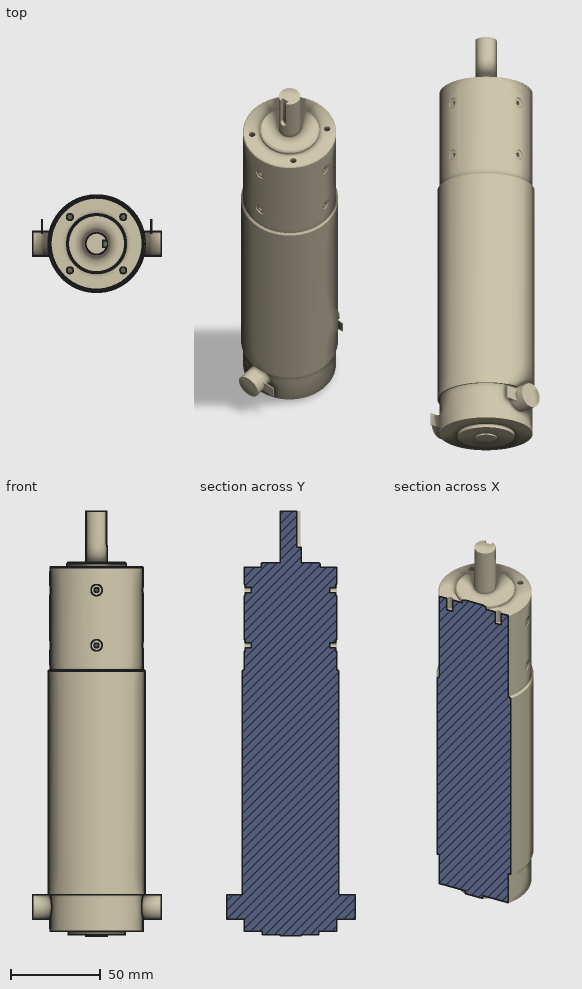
import cadquery as cq

shaft_length = 31.0
pilot_height = 2.4
gearbox_length = 57.4
motor_length = 125.3
end_cap_length = 20.5
bearing_boss_height = 2.0
total_length = 236.94

shaft_diameter = 12.0
pilot_diameter = 33.2
gearbox_diameter = 52.0
motor_diameter = 54.23
bearing_boss_diameter = 31.8
rear_stub_diameter = 12.0

pilot_chamfer = 0.8
gearbox_chamfer = 0.5
motor_chamfer = 0.9

keyway_width = 4.0
keyway_depth = 2.5
keyway_length = 20.0

mount_hole_diameter = 3.6
mount_hole_depth = 8.0
mount_circle_diameter = 42.0
mount_hole_count = 4

radial_hole_diameter = 2.6
radial_hole_depth = 4.0
counterbore_diameter = 6.2
counterbore_depth = 0.6
radial_hole_drops = (13.0, 43.8)
radial_hole_count = 4

brush_diameter = 13.8
brush_gap = 0.1
brush_span = 71.67
left_brush_reach = 35.6
right_brush_reach = brush_span - left_brush_reach
tab_offset = 30.4
tab_thickness = 0.5
tab_height = 7.0
tab_reach = 13.4

gearbox_bottom = -gearbox_length
motor_bottom = gearbox_bottom - motor_length
end_cap_bottom = motor_bottom - end_cap_length
boss_bottom = end_cap_bottom - bearing_boss_height
rear_stub_bottom = shaft_length - total_length
brush_level = motor_bottom - brush_gap - brush_diameter / 2


def disc(diameter, bottom, top):
    """Cylinder on the Z axis between two levels."""
    return cq.Workplane("XY").workplane(offset=bottom).circle(diameter / 2).extrude(top - bottom)


def make_stack():
    """Coaxial body: end cap, motor, gearbox, pilot and shaft."""
    motor = disc(motor_diameter, motor_bottom, gearbox_bottom).faces(">Z").chamfer(motor_chamfer)
    gearbox = disc(gearbox_diameter, gearbox_bottom, 0).faces(">Z").chamfer(gearbox_chamfer)
    pilot = disc(pilot_diameter, 0, pilot_height).faces(">Z").chamfer(pilot_chamfer)
    end_cap = disc(gearbox_diameter, end_cap_bottom, motor_bottom)
    boss = disc(bearing_boss_diameter, boss_bottom, end_cap_bottom)
    rear_stub = disc(rear_stub_diameter, rear_stub_bottom, boss_bottom)
    shaft = disc(shaft_diameter, 0, shaft_length)
    body = motor
    for piece in (gearbox, pilot, end_cap, boss, rear_stub, shaft):
        body = body.union(piece)
    return body


def make_keyway():
    """Slot running down from the shaft tip to a half-round lower end."""
    floor_x = shaft_diameter / 2 - keyway_depth
    half_width = keyway_width / 2
    arc_start = shaft_length - keyway_length + half_width
    return (
        cq.Workplane("YZ", origin=(floor_x, 0, 0))
        .moveTo(-half_width, shaft_length)
        .lineTo(-half_width, arc_start)
        .threePointArc((0, arc_start - half_width), (half_width, arc_start))
        .lineTo(half_width, shaft_length)
        .close()
        .extrude(shaft_diameter)
    )


def make_mount_holes():
    """Blind holes on the bolt circle, set midway between the X and Y axes."""
    half_pitch = 180 / mount_hole_count
    return (
        cq.Workplane("XY")
        .polarArray(mount_circle_diameter / 2, half_pitch, 360, mount_hole_count)
        .circle(mount_hole_diameter / 2)
        .extrude(-mount_hole_depth)
    )


def radial_cut(diameter, depth, level):
    """Cylinder along +X reaching the given depth below the gearbox surface."""
    floor_x = gearbox_diameter / 2 - depth
    return (
        cq.Workplane("YZ", origin=(floor_x, 0, level))
        .circle(diameter / 2)
        .extrude(2 * depth)
    )


def make_radial_holes():
    """Rows of counterbored holes on every side of the gearbox."""
    cutters = cq.Workplane("XY")
    for drop in radial_hole_drops:
        hole = radial_cut(radial_hole_diameter, radial_hole_depth, -drop)
        hole = hole.union(radial_cut(counterbore_diameter, counterbore_depth, -drop))
        for index in range(radial_hole_count):
            angle = index * 360 / radial_hole_count
            cutters = cutters.union(hole.rotate((0, 0, 0), (0, 0, 1), angle))
    return cutters


def make_brush_holder(side, reach):
    """Radial brush holder with its terminal tab; side is -1 for -X and +1 for +X."""
    holder = (
        cq.Workplane("YZ", origin=(0, 0, brush_level))
        .circle(brush_diameter / 2)
        .extrude(side * reach)
    )
    tab = cq.Workplane("XY").box(
        tab_thickness, tab_reach, tab_height, centered=(True, False, True)
    ).translate((side * tab_offset, 0, brush_level))
    return holder.union(tab)


result = (
    make_stack()
    .union(make_brush_holder(-1, left_brush_reach))
    .union(make_brush_holder(1, right_brush_reach))
    .cut(make_keyway())
    .cut(make_mount_holes())
    .cut(make_radial_holes())
)